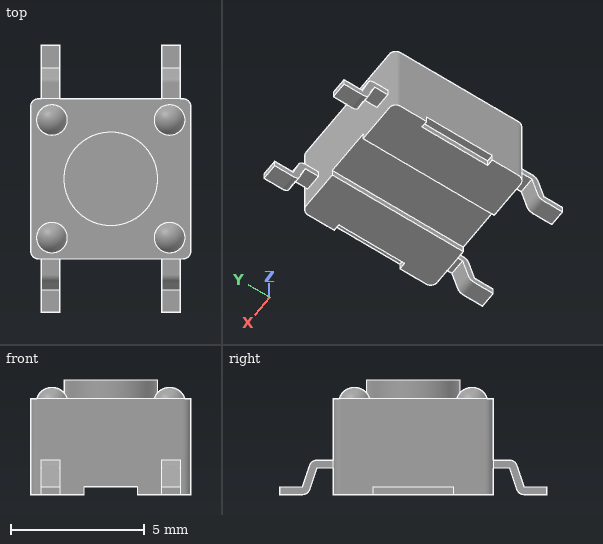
import cadquery as cq
import math

body_side = 6
body_height = 3.6
corner_radius = 0.3

button_diameter = 3.5
button_height = 0.7

rivet_offset = 2.2
rivet_radius = 0.6
rivet_height = 0.42

recess_height = 0.3
channel_width = 2
side_recess_width = 3
side_recess_depth = 0.3

lead_tip = 5
lead_offset = 2.25
lead_width = 0.7
lead_thickness = 0.3
shoulder_underside = 1
shoulder_bend = 3.6
foot_bend = 4.15

half_side = body_side / 2


def make_body():
    body = cq.Workplane("XY").box(body_side, body_side, body_height, centered=(True, True, False))
    body = body.edges("|Z").fillet(corner_radius)

    channel = cq.Workplane("XY").box(
        channel_width, body_side, recess_height, centered=(True, True, False)
    )
    body = body.cut(channel)

    for side in (-1, 1):
        recess = cq.Workplane("XY").box(
            side_recess_depth, side_recess_width, recess_height, centered=(True, True, False)
        )
        body = body.cut(recess.translate((side * (half_side - side_recess_depth / 2), 0, 0)))
    return body


def make_button():
    return cq.Workplane("XY").workplane(offset=body_height).circle(button_diameter / 2).extrude(button_height)


def make_rivet(x, y):
    center_height = body_height + rivet_height - rivet_radius
    return cq.Workplane("XY").sphere(rivet_radius).translate((x, y, center_height))


def make_lead():
    """Lead on the +Y side, centred on X = 0."""
    run = foot_bend - shoulder_bend
    drop = shoulder_underside - lead_thickness
    slope = math.atan2(drop, run) + math.asin(lead_thickness / math.hypot(run, drop))

    def normal_offset(angle):
        return lead_thickness * math.sin(angle), lead_thickness * math.cos(angle)

    slant_y, slant_z = normal_offset(slope)
    middle_y, middle_z = normal_offset(slope / 2)
    profile = (
        cq.Workplane("YZ")
        .moveTo(half_side, shoulder_underside)
        .lineTo(shoulder_bend, shoulder_underside)
        .lineTo(foot_bend - slant_y, lead_thickness - slant_z)
        .threePointArc(
            (foot_bend - middle_y, lead_thickness - middle_z),
            (foot_bend, 0),
        )
        .lineTo(lead_tip, 0)
        .lineTo(lead_tip, lead_thickness)
        .lineTo(foot_bend, lead_thickness)
        .lineTo(shoulder_bend + slant_y, shoulder_underside + slant_z)
        .threePointArc(
            (shoulder_bend + middle_y, shoulder_underside + middle_z),
            (shoulder_bend, shoulder_underside + lead_thickness),
        )
        .lineTo(half_side, shoulder_underside + lead_thickness)
        .close()
    )
    return profile.extrude(lead_width / 2, both=True)


result = make_body().union(make_button())
lead = make_lead()
for x_side in (-1, 1):
    for y_side in (-1, 1):
        result = result.union(make_rivet(x_side * rivet_offset, y_side * rivet_offset))
        turned_lead = lead if y_side > 0 else lead.mirror("XZ")
        result = result.union(turned_lead.translate((x_side * lead_offset, 0, 0)))